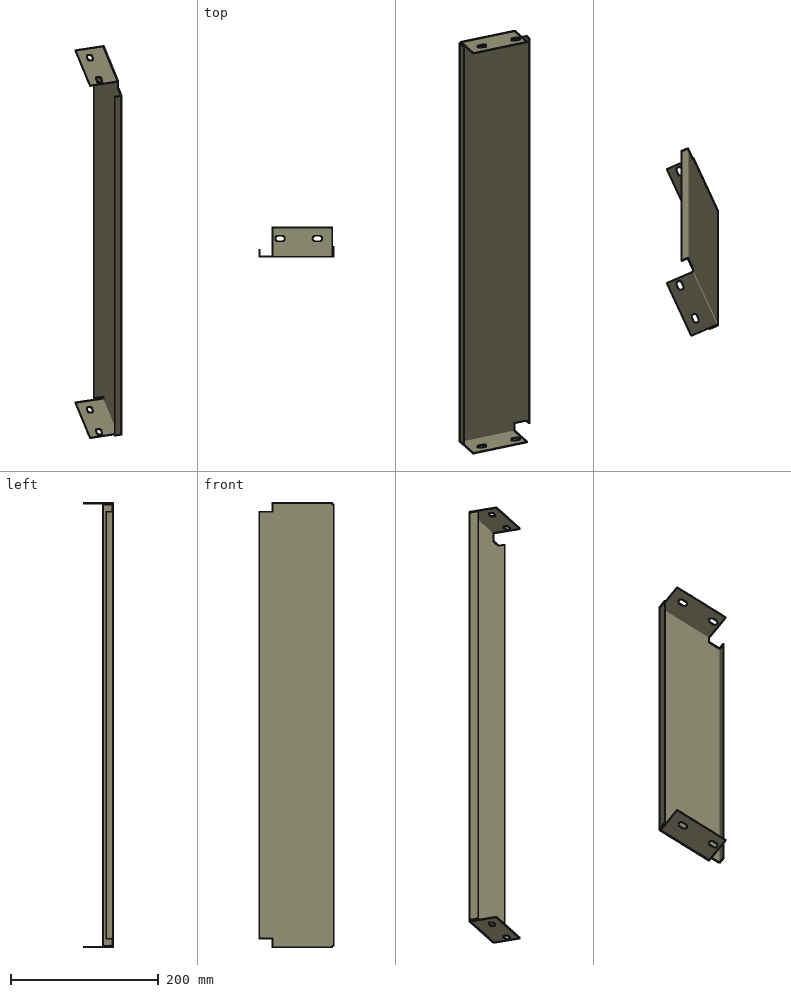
import cadquery as cq

width = 101.0
depth = 39.5
height = 601.0

sheet = 1.0
inner_bend_radius = 0.2
outer_bend_radius = inner_bend_radius + sheet
corner_relief = 2.1

left_lip_depth = 9.5
right_return_depth = 14.0

notch_width = 18.0
notch_height = 12.0

slot_length = 12.5
slot_width = 7.0
slot_pitch = 50.5
first_slot_x = 28.0
slot_y = 24.5


def make_box(x_start, x_end, y_start, y_end, z_start, z_end):
    """Make a box between the given limits."""
    return cq.Workplane("XY").box(
        x_end - x_start, y_end - y_start, z_end - z_start, centered=False
    ).translate((x_start, y_start, z_start))


def make_channel(x_start, x_end, z_start, z_end, leg_depth, bend_axis):
    """Bend a sheet into a channel with two legs toward +Y, folded about X or Z."""
    outer = make_box(x_start, x_end, 0, leg_depth, z_start, z_end)
    x_wall, z_wall = (sheet, 0) if bend_axis == "Z" else (0, sheet)
    inner = make_box(
        x_start + x_wall, x_end - x_wall, sheet, leg_depth, z_start + z_wall, z_end - z_wall
    )
    front_bends = f"|{bend_axis} and <Y"
    outer = outer.edges(front_bends).fillet(outer_bend_radius)
    inner = inner.edges(front_bends).fillet(inner_bend_radius)
    return outer.cut(inner)


def make_side_channel():
    """Panel with its long edges bent back, the left lip shallower and shorter."""
    channel = make_channel(0, width, corner_relief, height - corner_relief, right_return_depth, "Z")
    channel = channel.cut(make_box(0, notch_width, left_lip_depth, right_return_depth, 0, height))
    for z_start in (0, height - notch_height):
        notch = make_box(0, notch_width, 0, right_return_depth, z_start, z_start + notch_height)
        channel = channel.cut(notch)
    return channel


def make_end_channel():
    """Panel with both short ends bent back into slotted mounting flanges."""
    channel = make_channel(notch_width, width - corner_relief, 0, height, depth, "X")
    slots = (
        cq.Workplane("XY")
        .pushPoints([(first_slot_x, slot_y), (first_slot_x + slot_pitch, slot_y)])
        .slot2D(slot_length, slot_width)
        .extrude(height)
    )
    return channel.cut(slots)


result = make_side_channel().union(make_end_channel())